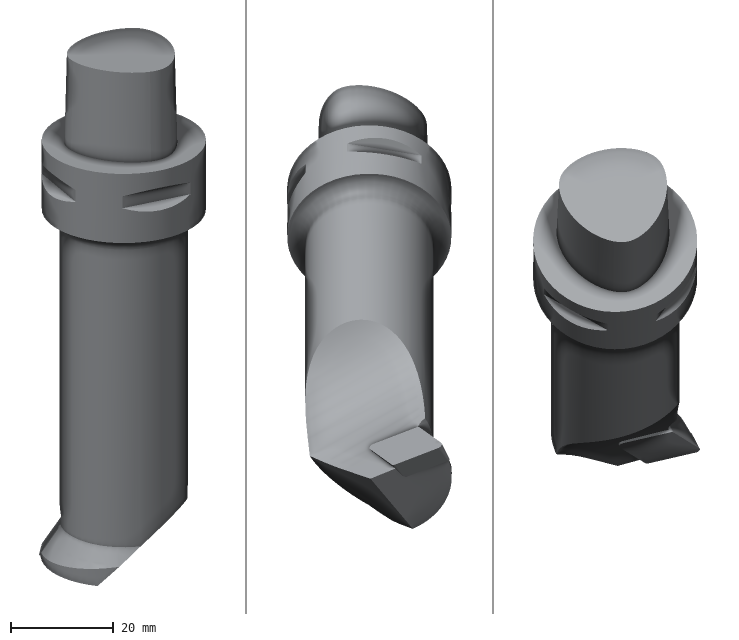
import cadquery as cq
import math


taper_height = 19.0
taper_width = 22.0
taper_rate = 1 / 20
lobe_eccentricity = 0.7
lobe_half_angle = 24.0
points_per_face = 9

flange_diameter = 32.0
flange_height = 14.8
slot_count = 4
slot_center_z = -6.1
slot_floor_height = 2.5
slot_floor_width = 14.8
slot_wall_angle = 33.0

shank_diameter = 25.0
neck_fillet = 3.0
tool_length = 90.0

flare_start_z = -81.55
flare_angle = 59.0
clearance_radius = 14.9
clearance_center_x = -1.4
head_bottom_z = -89.2
back_chamfer_angle = 46.0
back_chamfer_start_z = -75.8

lead_angle = 58.0
insert_corner_angle = 55.0
insert_edge = 11.6
insert_thickness = 3.97
insert_relief = 7.0
insert_tilt = 5.2
nose_radius = 0.8
tip_x = -16.9

flank_setback = 0.35
flank_length = 9.9
flank_cut_depth = 8.0
groove_radius = 2.65
groove_x = -13.4
groove_z = -80.1

gouge_radius = 34.5
gouge_floor_y = 0.3
gouge_floor_z = -82.0
gouge_roll = 11.0
gouge_turn = 5.2

reach = 60.0

flange_radius = flange_diameter / 2
shank_radius = shank_diameter / 2


def unit(angle):
    """Cosine and sine of an angle in degrees."""
    return math.cos(math.radians(angle)), math.sin(math.radians(angle))


def taper_point(width, z, angle):
    """Point of the three-lobed section where its outward normal has the given angle."""
    lobe_phase = math.radians(3 * (angle - 90))
    support = width / 2 + lobe_eccentricity * math.cos(lobe_phase)
    slope = -3 * lobe_eccentricity * math.sin(lobe_phase)
    c, s = unit(angle)
    return cq.Vector(support * c - slope * s, support * s + slope * c, z)


def taper_section(width, z):
    """Closed section with a lobe on +Y: three lobe faces and three flank faces."""
    edges = []
    for lobe_angle in (90, 210, 330):
        lobe_start = lobe_angle - lobe_half_angle
        lobe_end = lobe_angle + lobe_half_angle
        stops = (lobe_start, lobe_end, lobe_start + 120)
        for start, end in zip(stops, stops[1:]):
            step = (end - start) / (points_per_face - 1)
            points = [taper_point(width, z, start + i * step) for i in range(points_per_face)]
            edges.append(cq.Edge.makeSpline(points))
    return cq.Wire.assembleEdges(edges)


def make_taper():
    top_width = taper_width - taper_rate * taper_height
    sections = [taper_section(taper_width, 0), taper_section(top_width, taper_height)]
    return cq.Workplane(obj=cq.Solid.makeLoft(sections, True))


def make_flange_and_shank():
    fillet_reach = neck_fillet * math.sqrt(0.5)
    fillet_center = (shank_radius + neck_fillet, -flange_height - neck_fillet)
    return (
        cq.Workplane("XZ")
        .moveTo(0, 0)
        .lineTo(flange_radius, 0)
        .lineTo(flange_radius, -flange_height)
        .lineTo(fillet_center[0], -flange_height)
        .threePointArc(
            (fillet_center[0] - fillet_reach, fillet_center[1] + fillet_reach),
            (shank_radius, fillet_center[1]),
        )
        .lineTo(shank_radius, head_bottom_z)
        .lineTo(0, head_bottom_z)
        .close()
        .revolve(360, (0, 0, 0), (0, 1, 0))
    )


def make_gripper_slot(angle):
    """Straight slot with sloped side walls, cut square to the given direction."""
    floor_x = math.sqrt(flange_radius**2 - (slot_floor_width / 2) ** 2)
    depth = flange_radius - floor_x
    half_floor = slot_floor_height / 2
    half_mouth = half_floor + depth * math.tan(math.radians(slot_wall_angle))
    return (
        cq.Workplane("XZ")
        .polyline([
            (floor_x, slot_center_z - half_floor),
            (flange_radius, slot_center_z - half_mouth),
            (flange_radius, slot_center_z + half_mouth),
            (floor_x, slot_center_z + half_floor),
        ])
        .close()
        .extrude(flange_radius, both=True)
        .rotate((0, 0, 0), (0, 0, 1), angle)
    )


def make_head_flare():
    flare_height = flare_start_z - head_bottom_z
    bottom_radius = shank_radius + flare_height / math.tan(math.radians(flare_angle))
    cone = cq.Workplane(
        obj=cq.Solid.makeCone(bottom_radius, shank_radius, flare_height, cq.Vector(0, 0, head_bottom_z))
    )
    clearance = (
        cq.Workplane("XY", origin=(clearance_center_x, 0, head_bottom_z))
        .circle(clearance_radius)
        .extrude(flare_height)
    )
    return cone.intersect(clearance)


def make_gouge():
    """Arc-shaped sweep that runs out into a flat floor toward the cutting end."""
    center_y = gouge_floor_y + gouge_radius
    arc_reach = gouge_radius * math.sqrt(0.5)
    return (
        cq.Workplane("YZ")
        .moveTo(center_y, gouge_floor_z + gouge_radius)
        .threePointArc((center_y - arc_reach, gouge_floor_z + arc_reach), (gouge_floor_y, gouge_floor_z))
        .lineTo(gouge_floor_y, gouge_floor_z - reach)
        .lineTo(center_y, gouge_floor_z - reach)
        .close()
        .extrude(reach, both=True)
        .rotate((0, 0, gouge_floor_z), (0, 1, gouge_floor_z), gouge_roll)
        .rotate((0, 0, 0), (0, 0, 1), gouge_turn)
    )


def make_back_chamfer():
    """Wedge that slopes the end of the bar off on the +X side."""
    drop = reach * math.tan(math.radians(back_chamfer_angle))
    return (
        cq.Workplane("XZ")
        .polyline([
            (shank_radius + reach, back_chamfer_start_z + drop),
            (shank_radius - reach, back_chamfer_start_z - drop),
            (shank_radius + reach, back_chamfer_start_z - drop),
        ])
        .close()
        .extrude(reach, both=True)
    )


def make_groove():
    return (
        cq.Workplane("XZ")
        .center(groove_x, groove_z)
        .circle(groove_radius)
        .extrude(flange_radius, both=True)
    )


bottom_angle = lead_angle - insert_corner_angle
lead_x, lead_z = unit(lead_angle)
bottom_x, bottom_z = unit(bottom_angle)

nose_x = tip_x + nose_radius
nose_z = -tool_length + nose_radius
bisector_x, bisector_z = unit((lead_angle + bottom_angle) / 2)
corner_offset = nose_radius / math.sin(math.radians(insert_corner_angle / 2))
corner_x = nose_x - corner_offset * bisector_x
corner_z = nose_z - corner_offset * bisector_z


def rotate_about_lead_edge(shape, angle):
    """Turn a shape about the left, leading edge of the insert."""
    edge_start = (corner_x, 0, corner_z)
    edge_end = (corner_x + lead_x, 0, corner_z + lead_z)
    return shape.rotate(edge_start, edge_end, angle)


def rhombus_prism(height, taper=0):
    """Rhombus with rounded corners, extruded toward -Y (or +Y for a negative height)."""
    corners = [
        (corner_x, corner_z),
        (corner_x + insert_edge * lead_x, corner_z + insert_edge * lead_z),
        (corner_x + insert_edge * (lead_x + bottom_x), corner_z + insert_edge * (lead_z + bottom_z)),
        (corner_x + insert_edge * bottom_x, corner_z + insert_edge * bottom_z),
    ]
    sketch = (
        cq.Sketch()
        .polygon(corners + corners[:1])
        .vertices()
        .fillet(nose_radius)
    )
    return cq.Workplane("XZ").placeSketch(sketch).extrude(height, taper=taper)


def make_insert():
    return rotate_about_lead_edge(rhombus_prism(insert_thickness, insert_relief), insert_tilt)


def make_pocket_opening():
    """Clear space on the +Y side of the insert."""
    return rotate_about_lead_edge(rhombus_prism(-insert_thickness), insert_tilt)


def make_flank_cut():
    """Plane set back behind the lead edge, leaning in toward -Y by the insert relief."""
    start_x = corner_x + flank_setback * lead_z - insert_edge * lead_x
    start_z = corner_z - flank_setback * lead_x - insert_edge * lead_z
    end_x = corner_x + flank_setback * lead_z + flank_length * lead_x
    end_z = corner_z - flank_setback * lead_x + flank_length * lead_z
    cut = (
        cq.Workplane("XZ")
        .polyline([
            (start_x, start_z),
            (end_x, end_z),
            (end_x - flank_cut_depth * lead_z, end_z + flank_cut_depth * lead_x),
            (start_x - flank_cut_depth * lead_z, start_z + flank_cut_depth * lead_x),
        ])
        .close()
        .extrude(flange_radius, both=True)
    )
    return rotate_about_lead_edge(cut, insert_relief)


def make_holder(insert):
    holder = make_flange_and_shank().union(make_head_flare()).union(make_taper())
    for i in range(slot_count):
        holder = holder.cut(make_gripper_slot(45 + i * 360 / slot_count))
    for cutter in (make_gouge(), make_back_chamfer(), make_groove(), make_flank_cut()):
        holder = holder.cut(cutter)
    return holder.cut(make_pocket_opening()).cut(insert)


insert = make_insert()
holder = make_holder(insert)

result = cq.Compound.makeCompound([holder.solids().val(), insert.val()])